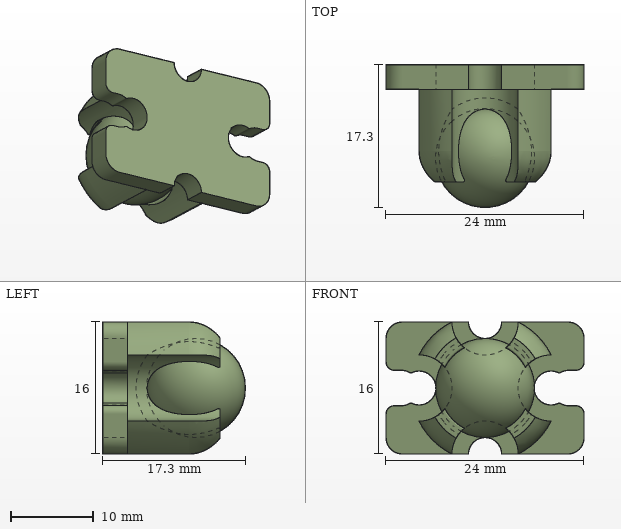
import cadquery as cq
import math


plate_width = 24.0
plate_height = 16.0
plate_thickness = 3.0
plate_corner_radius = 2.0
edge_notch_radius = 2.0

slot_seat_x = 8.0
slot_seat_radius = 2.05
slot_neck_x = 10.18
slot_half_height = 2.14
slot_mouth_radius = 1.0
slot_bump_radius = 0.25

groove_radius = 4.0
groove_axis_offset = plate_height / 2
socket_center_y = -7.5
socket_radius = 6.48
prong_length = 11.2
prong_outer_rounding = 4.55
prong_lip_rounding = 0.2
prong_outer_radius = math.hypot(groove_axis_offset, groove_radius)

ball_radius = 6.0
ball_center_y = -8.3


def cylinder_along_y(x, z, radius, y_start, length):
    """Cylinder that starts at y_start and runs toward -Y."""
    return cq.Workplane("XZ", origin=(x, y_start, z)).circle(radius).extrude(length)


def sphere_on_axis(radius, center_y):
    return cq.Workplane("XY", origin=(0, center_y, 0)).sphere(radius)


def fillet_edge_at(body, x, z, radius):
    """Round the plate edge that runs along Y through (x, z)."""
    edge_middle = (x, plate_thickness / 2, z)
    return body.edges("|Y").edges(cq.NearestToPointSelector(edge_middle)).fillet(radius)


def make_side_slot(side):
    """Cutter for one side slot; side is +1 or -1 along X."""
    mouth_length = plate_width / 2 - slot_neck_x
    mouth_center = (side * (slot_neck_x + mouth_length / 2), plate_thickness / 2, 0)
    mouth = cq.Workplane("XY", origin=mouth_center).box(
        mouth_length, plate_thickness, 2 * slot_half_height
    )
    seat = cylinder_along_y(side * slot_seat_x, 0, slot_seat_radius, plate_thickness, plate_thickness)
    neck = cylinder_along_y(side * slot_neck_x, 0, slot_half_height, plate_thickness, plate_thickness)
    return mouth.union(neck).union(seat)


def make_plate():
    plate = cq.Workplane("XZ", origin=(0, plate_thickness, 0))
    plate = plate.rect(plate_width, plate_height).extrude(plate_thickness)
    plate = plate.edges("|Y").fillet(plate_corner_radius)

    for end in (1, -1):
        notch_z = end * plate_height / 2
        plate = plate.cut(
            cylinder_along_y(0, notch_z, edge_notch_radius, plate_thickness, plate_thickness)
        )

    center_distance = slot_neck_x - slot_seat_x
    seat_to_bump = (center_distance**2 + slot_seat_radius**2 - slot_half_height**2) / (2 * center_distance)
    bump_x = slot_seat_x + seat_to_bump
    bump_z = math.sqrt(slot_seat_radius**2 - seat_to_bump**2)

    for side in (1, -1):
        plate = plate.cut(make_side_slot(side))
        for end in (1, -1):
            plate = fillet_edge_at(plate, side * bump_x, end * bump_z, slot_bump_radius)
            plate = fillet_edge_at(
                plate, side * plate_width / 2, end * slot_half_height, slot_mouth_radius
            )
    return plate


def make_socket():
    """Hollow round post, split into four prongs by four round grooves."""
    arc_depth = prong_length + socket_center_y
    arc_center_radius = prong_outer_radius - prong_outer_rounding
    tip_radius = arc_center_radius + math.sqrt(prong_outer_rounding**2 - arc_depth**2)
    half_angle = math.asin(arc_depth / prong_outer_rounding) / 2
    arc_middle = (
        arc_center_radius + prong_outer_rounding * math.cos(half_angle),
        socket_center_y - prong_outer_rounding * math.sin(half_angle),
    )
    post = (
        cq.Workplane("XY")
        .lineTo(prong_outer_radius, 0)
        .lineTo(prong_outer_radius, socket_center_y)
        .threePointArc(arc_middle, (tip_radius, -prong_length))
        .lineTo(0, -prong_length)
        .close()
        .revolve(360, (0, 0, 0), (0, 1, 0))
    )

    post = post.cut(sphere_on_axis(socket_radius, socket_center_y))
    smallest_circle = cq.selectors.RadiusNthSelector(0)
    post = post.faces("<Y").edges(smallest_circle).fillet(prong_lip_rounding)

    for direction in (1, -1):
        offset = direction * groove_axis_offset
        for x, z in ((offset, 0), (0, offset)):
            post = post.cut(cylinder_along_y(x, z, groove_radius, 0, prong_length))
    return post


def make_housing():
    return make_plate().union(make_socket())


def make_ball():
    return sphere_on_axis(ball_radius, ball_center_y)


housing = make_housing()
ball = make_ball()

result = cq.Compound.makeCompound([housing.solids().val(), ball.val()])